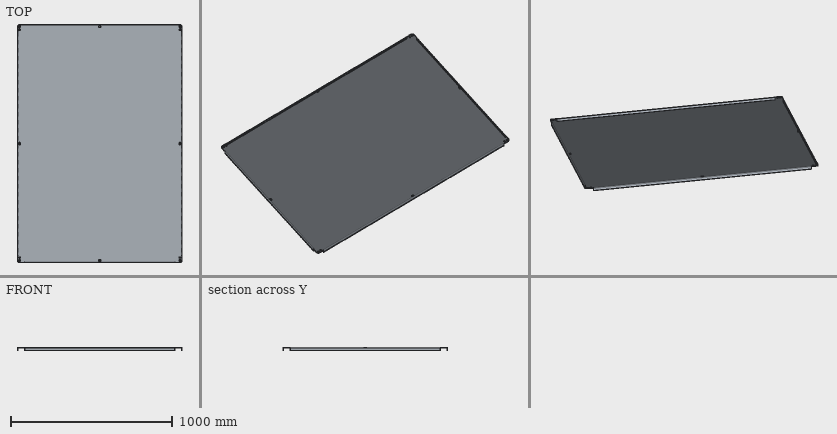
import cadquery as cq

width = 1021.0
length = 1478.0
height = 19.0

sheet = 2.0
bend_radius = 3.5
corner_radius = 15.0
flange_setback = 45.0

slot_width = 8.0
slot_length = 14.3
slot_inset = 13.0
corner_slot_x = 12.1
corner_slot_y = 13.0

relief_width = 5.0
relief_depth = 18.0
relief_offset = 33.0

half_width = width / 2
half_length = length / 2


def box(size_x, size_y, size_z, x, y, z):
    """Box centred on x, y and z."""
    return cq.Workplane("XY").box(size_x, size_y, size_z).translate((x, y, z))


def slot(x, y, angle):
    """Through cutter for a round-ended slot, turned by angle from X."""
    return (
        cq.Workplane("XY")
        .center(x, y)
        .slot2D(slot_length, slot_width, angle)
        .extrude(2 * height)
    )


def flange_profile(plane, edge):
    """Downward flange section with a rounded fold at the edge."""
    return (
        cq.Workplane(plane)
        .moveTo(edge - bend_radius, height)
        .radiusArc((edge, height - bend_radius), bend_radius)
        .lineTo(edge, 0)
        .lineTo(edge - sheet, 0)
        .lineTo(edge - sheet, height - bend_radius)
        .radiusArc((edge - bend_radius, height - sheet), -(bend_radius - sheet))
        .close()
    )


def fold_waste(plane, edge, span):
    """Sharp plate edge removed along the outside of a fold."""
    return (
        cq.Workplane(plane)
        .moveTo(edge - bend_radius, height)
        .radiusArc((edge, height - bend_radius), bend_radius)
        .lineTo(edge, height)
        .close()
        .extrude(span / 2, both=True)
    )


tray = box(width, length, sheet, 0, 0, height - sheet / 2)
tray = tray.edges("|Z").fillet(corner_radius)

for plane, edge, side_length in (("XZ", half_width, length), ("YZ", half_length, width)):
    flange_length = side_length - 2 * flange_setback
    flange = flange_profile(plane, edge).extrude(flange_length / 2, both=True)
    waste = fold_waste(plane, edge, flange_length)
    for turn in (0, 180):
        tray = tray.cut(waste.rotate((0, 0, 0), (0, 0, 1), turn))
        tray = tray.union(flange.rotate((0, 0, 0), (0, 0, 1), turn))

for side in (-1, 1):
    tray = tray.cut(slot(side * (half_width - slot_inset), 0, 90))
    tray = tray.cut(slot(0, side * (half_length - slot_inset), 0))

for side_x in (-1, 1):
    for side_y in (-1, 1):
        tray = tray.cut(
            slot(side_x * (half_width - corner_slot_x), side_y * (half_length - corner_slot_y), 90)
        )
        relief_x = side_x * (half_width - relief_depth / 2)
        relief_y = side_y * (half_length - relief_offset)
        tray = tray.cut(box(relief_depth, relief_width, height, relief_x, relief_y, height))

result = tray